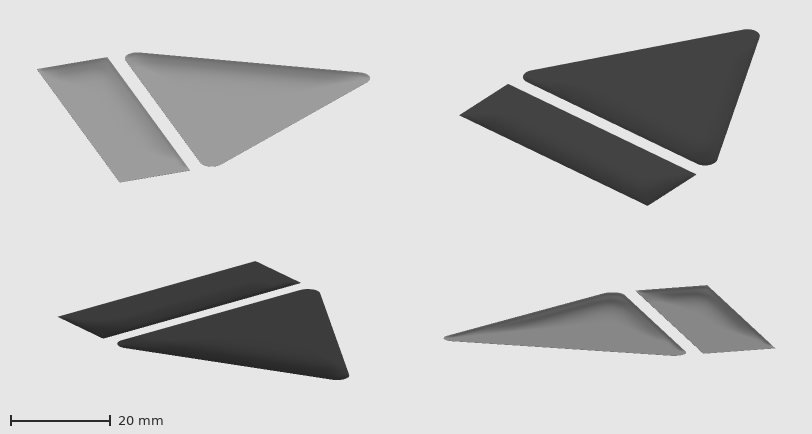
import cadquery as cq
import math

width = 50.0
total_length = 62.0
thickness = 0.05
strip_length = 15.0
corner_radius = 2.5

centre_side = width - 2 * corner_radius
centre_height = centre_side * math.sqrt(3) / 2

tip_centre_y = total_length - corner_radius
base_centre_y = tip_centre_y - centre_height


def make_strip():
    """Rectangular plate below the triangle, centred on X."""
    return cq.Workplane("XY").box(width, strip_length, thickness, centered=(True, False, False))


def make_triangle():
    """Equilateral plate with rounded corners, pointing toward +Y."""
    corner_centres = [
        (-centre_side / 2, base_centre_y),
        (centre_side / 2, base_centre_y),
        (0, tip_centre_y),
    ]
    return (
        cq.Workplane("XY")
        .polyline(corner_centres)
        .close()
        .offset2D(corner_radius, "arc")
        .extrude(thickness)
    )


strip = make_strip()
triangle = make_triangle()

result = cq.Compound.makeCompound([strip.val(), triangle.val()])